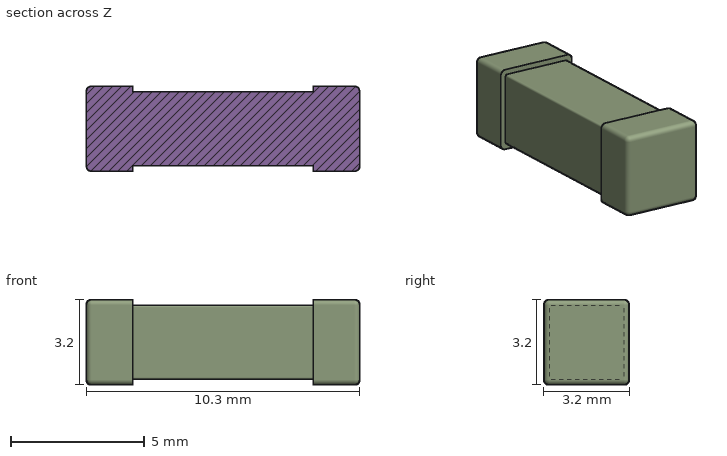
import cadquery as cq

total_length = 10.25
cap_width = 3.2
cap_length = 1.75
cap_rounding = 0.19

cap_step = 0.2
body_width = cap_width - 2 * cap_step
body_length = total_length - 2 * cap_length
body_rounding = 0.08


def end_cap(side):
    """Cap at the -X (side = -1) or +X (side = 1) end, sharp only around its inner face."""
    centre_x = side * (total_length - cap_length) / 2
    outer_face = ">X" if side > 0 else "<X"
    return (
        cq.Workplane("XY")
        .box(cap_length, cap_width, cap_width)
        .edges(f"|X or {outer_face}")
        .fillet(cap_rounding)
        .translate((centre_x, 0, 0))
    )


def body():
    """Bar between the caps with its long edges rounded."""
    return (
        cq.Workplane("XY")
        .box(body_length, body_width, body_width)
        .edges("|X")
        .fillet(body_rounding)
    )


result = body()
for side in (-1, 1):
    result = result.union(end_cap(side))